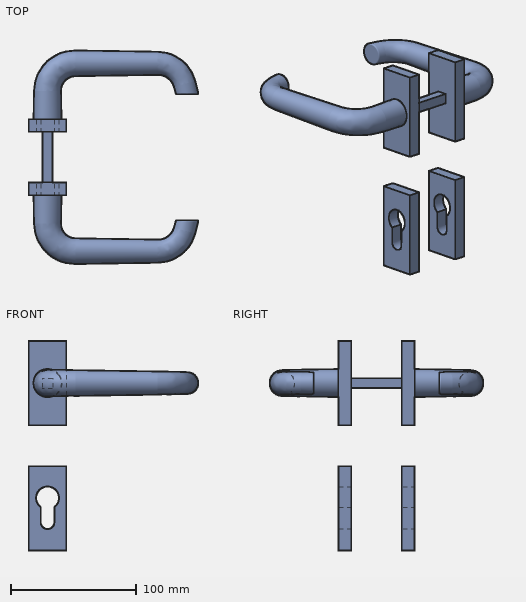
import cadquery as cq
import math

plate_width = 30.0
plate_height = 67.5
plate_thickness = 10.2
plate_inner_y = 20.2
plate_outer_y = plate_inner_y + plate_thickness
plate_gap = 32.6
lower_plate_z = -(plate_height + plate_gap)

spindle_size = 8.0

keyhole_radius = 9.0
keyhole_z = 8.4
slot_width = 10.8
slot_bottom_z = -16.4

grip_reach_y = 75.0
base_radius = 11.3
tip_radius = 8.7
bend_radius = 22.2
second_bend_x = 88.0
second_bend_angle = 75.0
tip_y = 50.2
tip_rounding = 1.0
tip_overrun = 3.5


def make_plate(center_z):
    """Flat plate on the +Y side."""
    return cq.Workplane("XY").box(plate_width, plate_thickness, plate_height).translate(
        (0, plate_inner_y + plate_thickness / 2, center_z)
    )


def arc_point(center, angle):
    """Point on a grip bend at an angle measured from +X."""
    a = math.radians(angle)
    return (center[0] + bend_radius * math.cos(a), center[1] + bend_radius * math.sin(a))


def make_grip():
    """Tapered round bar with two bends, cut flat at the tip with a rounded rim."""
    bend_center_y = grip_reach_y - bend_radius
    first_center = (bend_radius, bend_center_y)
    second_center = (second_bend_x, bend_center_y)
    end_angle = 90 - second_bend_angle
    bend_end = arc_point(second_center, end_angle)
    direction = (math.sin(math.radians(end_angle)), -math.cos(math.radians(end_angle)))
    tail = (bend_end[1] - tip_y + tip_overrun) / -direction[1]
    tip = (bend_end[0] + tail * direction[0], bend_end[1] + tail * direction[1])

    path = (
        cq.Workplane("XY")
        .moveTo(0, plate_outer_y)
        .lineTo(0, bend_center_y)
        .threePointArc(arc_point(first_center, 135), (bend_radius, grip_reach_y))
        .lineTo(second_bend_x, grip_reach_y)
        .threePointArc(arc_point(second_center, 90 - second_bend_angle / 2), bend_end)
        .lineTo(*tip)
    )
    base_plane = cq.Plane((0, plate_outer_y, 0), xDir=(0, 0, 1), normal=(0, 1, 0))
    tip_plane = cq.Plane((tip[0], tip[1], 0), xDir=(0, 0, 1), normal=(direction[0], direction[1], 0))
    base_section = cq.Workplane(base_plane).circle(base_radius).wires().val()
    tip_section = cq.Workplane(tip_plane).circle(tip_radius).wires().val()
    bar = cq.Solid.sweep_multi([base_section, tip_section], path.wire().val())

    cut_size = 4 * base_radius
    tip_cut = cq.Workplane("XY").box(cut_size, cut_size, cut_size).translate(
        (tip[0], tip_y - cut_size / 2, 0)
    )
    grip = cq.Workplane("XY").add(bar).cut(tip_cut)
    tip_face_center = (tip[0], tip_y, 0)
    return grip.faces(cq.NearestToPointSelector(tip_face_center)).edges().fillet(tip_rounding)


def make_handle_set():
    """Two plates with grips, joined by the square spindle."""
    half = make_plate(0).union(make_grip())
    spindle = cq.Workplane("XY").box(spindle_size, 2 * plate_inner_y, spindle_size)
    return spindle.union(half).union(half.mirror("XZ"))


def make_escutcheon():
    """Lower plate on the +Y side with a keyhole through it."""
    slot_end_z = slot_bottom_z + slot_width / 2
    cut_depth = 2 * plate_outer_y
    keyhole = (
        cq.Workplane("XZ")
        .center(0, lower_plate_z + keyhole_z)
        .circle(keyhole_radius)
        .extrude(-cut_depth)
    )
    slot_length = keyhole_z - slot_end_z
    shank = (
        cq.Workplane("XZ")
        .center(0, lower_plate_z + slot_end_z + slot_length / 2)
        .slot2D(slot_length + slot_width, slot_width, 90)
        .extrude(-cut_depth)
    )
    return make_plate(lower_plate_z).cut(keyhole).cut(shank)


handle_set = make_handle_set()

escutcheons = cq.Workplane("XY")
side_spacing = plate_inner_y + plate_outer_y
for offset_y in (0, -side_spacing):
    escutcheons.add(make_escutcheon().translate((0, offset_y, 0)))

result = cq.Compound.makeCompound([handle_set.val(), *escutcheons.vals()])